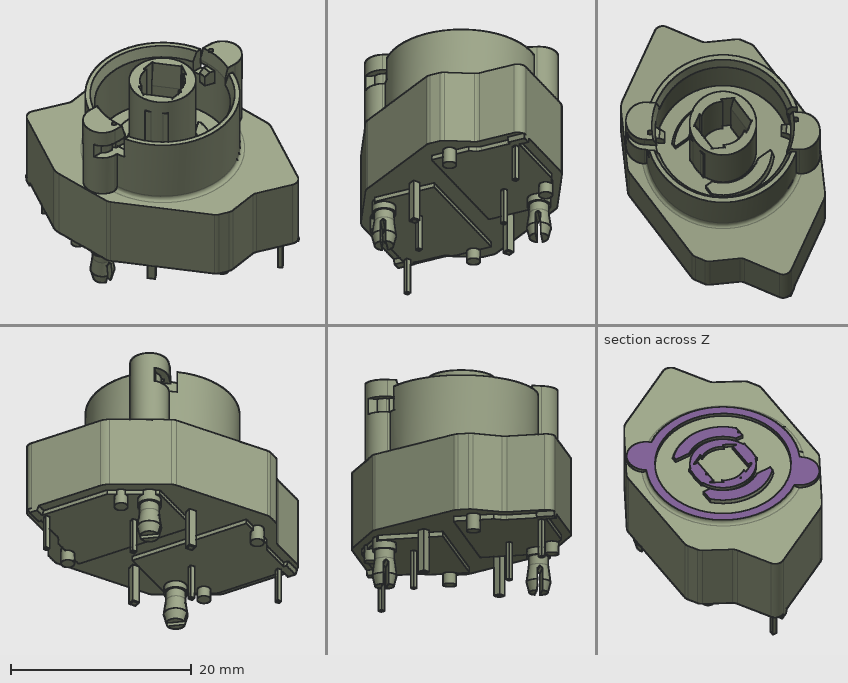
import cadquery as cq
import math

BODY_TOP = 8.72
RING_TOP = 16.72
TOWER_TOP = 17.75
HUB_TOP = 18.75
PLATE_DEPTH = 0.55
FOOT_DEPTH = 1.82
PIN_DEPTH = 4.88
PEG_DEPTH = 5.45

HALF_SPAN = 12.5
SHOULDER = 10.55
FOOT_OF_SLANT = 0.25
ELBOW_X = 6.4
CORNER_FILLET = 1.0
SLANT_FILLET = 2.0
STEEP = math.tan(math.radians(60))
SHALLOW = math.tan(math.radians(30))
ELBOW_Y = HALF_SPAN - (ELBOW_X + FOOT_OF_SLANT) * SHALLOW
TIP_LOW = (HALF_SPAN - ELBOW_X) * STEEP - ELBOW_Y
TIP_HIGH = 3.62
SHOULDER_Y = TIP_HIGH + (HALF_SPAN - SHOULDER) * STEEP

RING_RADIUS = 8.55
CAVITY_RADIUS = 7.5
RING_FILLET = 0.5
RIM_RADIUS = 8.0
RIM_BEVEL_DEPTH = 1.22

TOWER_ANGLE = -70.0
TOWER_DISTANCE = 8.6
TOWER_RADIUS = 2.15
TOWER_RIM_RADIUS = 7.88
TOWER_BEVEL_DEPTH = 1.5
LATCH_BOTTOM = 14.02
LATCH_TOP = 15.8
LATCH_CORE_RADIUS = 1.3
LATCH_EDGE = 0.9
NOTCH_EDGE = 3.02
RELIEF_DIAMETER = 0.5
RELIEF_DISTANCE = 8.0
TOOTH_TIP = 6.4
TOOTH_SLOPE_START = 6.98
TOOTH_DROP = 0.5
TOOTH_ROOT_EDGE = 0.05
TOOTH_TIP_EDGE = 0.42

HUB_DIAMETER = 7.38
KEY_ANGLE = 60.0
HEX_APOTHEM = 2.8
BORE_RADIUS = 2.5
BORE_LAND_WIDTH = 2.9
RAMP_TOP_THICKNESS = 0.15
RAMP_THICKNESS = 0.55
RAMP_HEIGHT = 3.0
PAD_DISTANCE = 3.62
PAD_WIDTH = 2.6
PAD_THICKNESS = 0.75
PAD_TOP = 17.15

CRESCENT_INNER = 4.02
CRESCENT_OUTER = 5.7
CRESCENT_HEIGHT = 0.75
CRESCENT_BEVEL = 0.28
CRESCENT_HALF_WIDTH = 4.12
CRESCENT_HIGH_END = 3.25
CRESCENT_LOW_END = 2.4

PLATE_INSET = 1.12
PLATE_END = 4.5
CHANNEL_HALF_WIDTH = 1.18
LUG_LEFT = -10.0
LUG_RIGHT = -8.6
LUG_TAPER = 0.22
LUG_LENGTH = 2.0

FOOT_DIAMETER = 1.5
FEET = [(-10.1, -3.42), (0.5, -10.1)]
THIN_PIN = 0.5
THICK_PIN = 0.85
PINS = [(-8.58, -10.8, THIN_PIN), (-0.55, -5.5, THIN_PIN), (5.4, -3.15, THICK_PIN)]
PIN_CHAMFER = 0.1
PEG_HEAD_DIAMETER = 2.6
PEG_HEAD_DEPTH = 1.38
PEG_NECK_DIAMETER = 2.2
PEG_NECK_DEPTH = 2.4
PEG_BULGE_DIAMETER = 2.7
PEG_BULGE_DEPTH = 4.25
PEG_TIP_DIAMETER = 2.1
PEG_SLIT_WIDTH = 0.6
PEG_SLIT_DEPTH = 2.65

OVERLAP = 0.25


def half_turn(shape):
    return shape.rotate((0, 0, 0), (0, 0, 1), 180)


def turned(shape, angle):
    return shape.rotate((0, 0, 0), (0, 0, 1), angle)


def cylinder(radius, bottom, top, x=0, y=0):
    return cq.Workplane("XY", origin=(x, y, bottom)).circle(radius).extrude(top - bottom)


def block(x_range, y_range, z_range):
    sizes = [high - low for low, high in (x_range, y_range, z_range)]
    corner = (x_range[0], y_range[0], z_range[0])
    return cq.Workplane("XY", origin=corner).box(*sizes, centered=False)


def cone(bottom_radius, bottom, top_radius, top):
    profile = [(0, bottom), (bottom_radius, bottom), (top_radius, top), (0, top)]
    return cq.Workplane("XZ").polyline(profile).close().revolve(360, (0, 0, 0), (0, 1, 0))


def outline_corners():
    half = [
        (HALF_SPAN, TIP_LOW),
        (HALF_SPAN, TIP_HIGH),
        (SHOULDER, SHOULDER_Y),
        (SHOULDER, HALF_SPAN),
        (FOOT_OF_SLANT, HALF_SPAN),
        (-ELBOW_X, ELBOW_Y),
    ]
    return half + [(-x, -y) for x, y in half]


def make_body():
    body = cq.Workplane("XY").polyline(outline_corners()).close().extrude(BODY_TOP)
    for side in (-1, 1):
        near = (side * FOOT_OF_SLANT, side * HALF_SPAN, BODY_TOP / 2)
        body = body.edges(cq.NearestToPointSelector(near)).fillet(SLANT_FILLET)
    sharp = [corner for corner in outline_corners() if abs(corner[0]) != FOOT_OF_SLANT]
    for x, y in sharp:
        near = (x, y, BODY_TOP / 2)
        body = body.edges(cq.NearestToPointSelector(near)).fillet(CORNER_FILLET)
    return body


def make_ring():
    flare = RING_RADIUS + RING_FILLET
    profile = (
        cq.Workplane("XZ")
        .moveTo(0, BODY_TOP - OVERLAP)
        .lineTo(flare, BODY_TOP - OVERLAP)
        .lineTo(flare, BODY_TOP)
        .radiusArc((RING_RADIUS, BODY_TOP + RING_FILLET), RING_FILLET)
        .lineTo(RING_RADIUS, RING_TOP)
        .lineTo(0, RING_TOP)
        .close()
    )
    return profile.revolve(360, (0, 0, 0), (0, 1, 0))


def make_rim_bevel():
    return cone(CAVITY_RADIUS, RING_TOP - RIM_BEVEL_DEPTH, RIM_RADIUS, RING_TOP)


def make_cavity():
    profile = [
        (0, BODY_TOP),
        (CAVITY_RADIUS, BODY_TOP),
        (CAVITY_RADIUS, TOWER_TOP - TOWER_BEVEL_DEPTH),
        (TOWER_RIM_RADIUS, TOWER_TOP),
        (0, TOWER_TOP),
    ]
    return cq.Workplane("XZ").polyline(profile).close().revolve(360, (0, 0, 0), (0, 1, 0))


def make_tower():
    heights = (BODY_TOP - OVERLAP, TOWER_TOP)
    tower = cylinder(TOWER_RADIUS, *heights, TOWER_DISTANCE)
    flanks = block((TOOTH_TIP, TOWER_DISTANCE), (-TOWER_RADIUS, TOWER_RADIUS), heights)
    return tower.union(flanks)


def make_latch_cut():
    outside = TOWER_DISTANCE + TOWER_RADIUS
    inside = TOOTH_TIP
    heights = (LATCH_BOTTOM, LATCH_TOP)
    slot = block((inside, outside), (LATCH_EDGE, NOTCH_EDGE), heights)
    core = cylinder(LATCH_CORE_RADIUS, *heights, TOWER_DISTANCE)
    core = core.union(block((inside, TOWER_DISTANCE), (0, LATCH_CORE_RADIUS), heights))
    notch = block((inside, outside), (TOWER_RADIUS, NOTCH_EDGE), (LATCH_BOTTOM, TOWER_TOP))
    relief = cylinder(
        RELIEF_DIAMETER / 2, LATCH_BOTTOM, TOWER_TOP, RELIEF_DISTANCE, LATCH_CORE_RADIUS
    )
    return slot.cut(core).union(notch).union(relief)


def make_tooth():
    root = CAVITY_RADIUS + OVERLAP
    plan = [
        (root, TOOTH_ROOT_EDGE),
        (CAVITY_RADIUS, TOOTH_ROOT_EDGE),
        (TOOTH_TIP, TOOTH_TIP_EDGE),
        (TOOTH_TIP, LATCH_CORE_RADIUS),
        (root, LATCH_CORE_RADIUS),
    ]
    side = [
        (root, LATCH_BOTTOM),
        (root, LATCH_TOP),
        (TOOTH_SLOPE_START, LATCH_TOP),
        (TOOTH_TIP, LATCH_TOP - TOOTH_DROP),
        (TOOTH_TIP, LATCH_BOTTOM),
    ]
    prism = cq.Workplane("XY").polyline(plan).close().extrude(HUB_TOP)
    profile = cq.Workplane("XZ").polyline(side).close().extrude(-LATCH_CORE_RADIUS)
    tooth = prism.intersect(profile)
    return tooth.cut(
        cylinder(RELIEF_DIAMETER / 2, LATCH_BOTTOM, LATCH_TOP, RELIEF_DISTANCE, LATCH_CORE_RADIUS)
    )


def make_hub():
    heights = (BODY_TOP - OVERLAP, HUB_TOP)
    hub = cylinder(HUB_DIAMETER / 2, *heights)
    for side in (-1, 1):
        reach = sorted((side * (PAD_DISTANCE - PAD_THICKNESS), side * PAD_DISTANCE))
        across = (-PAD_WIDTH / 2, PAD_WIDTH / 2)
        hub = hub.union(block(across, reach, (BODY_TOP - OVERLAP, PAD_TOP)))
    return hub


def make_bore():
    depth = HUB_TOP - BODY_TOP
    across_corners = 2 * HEX_APOTHEM / math.cos(math.radians(30))
    hexagon = cq.Workplane("XY", origin=(0, 0, BODY_TOP)).polygon(6, across_corners).extrude(depth)
    land_side = (-BORE_LAND_WIDTH / 2, BORE_LAND_WIDTH / 2)
    lands = block((-across_corners, across_corners), land_side, (BODY_TOP, HUB_TOP))
    bore = hexagon.cut(lands.cut(cylinder(BORE_RADIUS, BODY_TOP, HUB_TOP)))
    half_face = HEX_APOTHEM * math.tan(math.radians(30))
    ramp = [
        (HEX_APOTHEM + OVERLAP, BODY_TOP),
        (HEX_APOTHEM + OVERLAP, HUB_TOP),
        (HEX_APOTHEM - RAMP_TOP_THICKNESS, HUB_TOP),
        (HEX_APOTHEM - RAMP_THICKNESS, HUB_TOP - RAMP_HEIGHT),
        (HEX_APOTHEM - RAMP_THICKNESS, BODY_TOP),
    ]
    wedge = cq.Workplane("YZ").polyline(ramp).close().extrude(half_face, both=True)
    return bore.cut(wedge).cut(half_turn(wedge))


def make_crescent():
    top = BODY_TOP + CRESCENT_HEIGHT
    low = BODY_TOP - OVERLAP
    slope = cone(CRESCENT_OUTER, BODY_TOP, CRESCENT_OUTER - CRESCENT_BEVEL, top)
    washer = slope.union(cylinder(CRESCENT_OUTER, low, BODY_TOP))
    washer = washer.cut(cylinder(CRESCENT_INNER, low, top))
    left = block((CRESCENT_HIGH_END, CRESCENT_OUTER), (0, CRESCENT_HALF_WIDTH), (low, top))
    right = block((CRESCENT_LOW_END, CRESCENT_OUTER), (-CRESCENT_HALF_WIDTH, 0), (low, top))
    return washer.intersect(left.union(right))


def make_plate():
    heights = (-PLATE_DEPTH, OVERLAP)
    plate = (
        cq.Workplane("XY", origin=(0, 0, -PLATE_DEPTH))
        .polyline(outline_corners())
        .close()
        .offset2D(-PLATE_INSET)
        .extrude(PLATE_DEPTH + OVERLAP)
    )
    keep = block((LUG_LEFT, PLATE_END), (-HALF_SPAN, -CHANNEL_HALF_WIDTH), heights)
    lug_face = [
        (LUG_LEFT, 0),
        (LUG_LEFT + LUG_TAPER, -PLATE_DEPTH),
        (LUG_RIGHT - LUG_TAPER, -PLATE_DEPTH),
        (LUG_RIGHT, 0),
    ]
    lug_plane = cq.Workplane("XZ", origin=(0, LUG_LENGTH - HALF_SPAN, 0))
    lug = lug_plane.polyline(lug_face).close().extrude(LUG_LENGTH)
    return plate.intersect(keep).union(lug)


def make_pin(x, y, side):
    pin = cq.Workplane("XY").rect(side, side).extrude(-PIN_DEPTH - OVERLAP)
    pin = pin.faces("<Z").chamfer(PIN_CHAMFER)
    return turned(pin, KEY_ANGLE).translate((x, y, OVERLAP))


def make_peg():
    head = PEG_HEAD_DIAMETER / 2
    neck = PEG_NECK_DIAMETER / 2
    profile = [
        (0, OVERLAP),
        (head, OVERLAP),
        (head, -PEG_HEAD_DEPTH),
        (neck, -PEG_HEAD_DEPTH),
        (neck, -PEG_NECK_DEPTH),
        (PEG_BULGE_DIAMETER / 2, -PEG_BULGE_DEPTH),
        (PEG_TIP_DIAMETER / 2, -PEG_DEPTH),
        (0, -PEG_DEPTH),
    ]
    peg = cq.Workplane("XZ").polyline(profile).close().revolve(360, (0, 0, 0), (0, 1, 0))
    half_slit = PEG_SLIT_WIDTH / 2
    slit = [
        (-half_slit, -PEG_DEPTH),
        (-half_slit, -PEG_SLIT_DEPTH - half_slit),
        (0, -PEG_SLIT_DEPTH),
        (half_slit, -PEG_SLIT_DEPTH - half_slit),
        (half_slit, -PEG_DEPTH),
    ]
    cutter = cq.Workplane("XZ").polyline(slit).close().extrude(PEG_HEAD_DIAMETER, both=True)
    return turned(peg.cut(cutter).translate((TOWER_DISTANCE, 0, 0)), TOWER_ANGLE)


def add_pair(part, shape):
    return part.union(shape).union(half_turn(shape))


result = make_body().union(make_ring().cut(make_rim_bevel()))
result = add_pair(result, turned(make_tower(), TOWER_ANGLE)).cut(make_cavity())

latch_cut = turned(make_latch_cut(), TOWER_ANGLE)
result = result.cut(latch_cut).cut(half_turn(latch_cut))
result = add_pair(result, turned(make_tooth(), TOWER_ANGLE))

result = result.union(turned(make_hub(), KEY_ANGLE)).cut(turned(make_bore(), KEY_ANGLE))
result = add_pair(result, turned(make_crescent(), KEY_ANGLE))

result = add_pair(result, make_plate())
for foot_x, foot_y in FEET:
    result = add_pair(result, cylinder(FOOT_DIAMETER / 2, -FOOT_DEPTH, OVERLAP, foot_x, foot_y))
for pin_x, pin_y, pin_side in PINS:
    result = add_pair(result, make_pin(pin_x, pin_y, pin_side))
result = add_pair(result, make_peg())